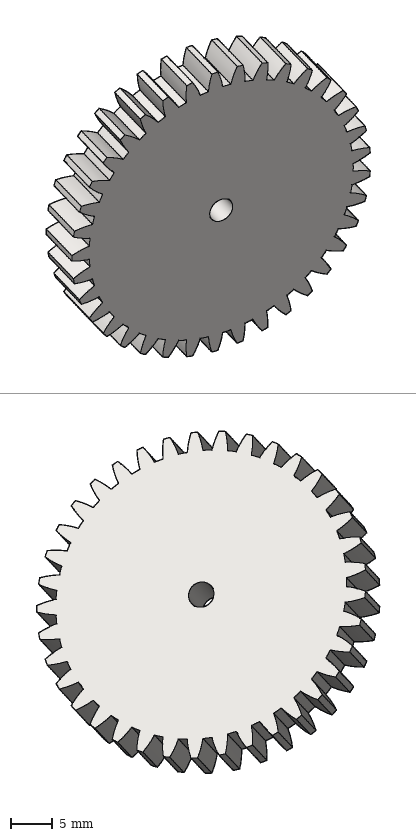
import cadquery as cq
import math

tooth_count = 37
overall_height = 41.25
root_radius = 18.25
face_width = 6.35
bore_diameter = 3.18

root_thickness = 2.0
pitch_thickness = 1.5
tip_thickness = 0.83

tooth_step = 2 * math.pi / tooth_count
first_tooth_angle = math.pi
tip_half_thickness = tip_thickness / 2
nearest_tooth_lean = tooth_step / 4
corner_rise = tip_half_thickness * math.sin(nearest_tooth_lean)
corner_distance = (overall_height / 2 - corner_rise) / math.cos(nearest_tooth_lean)
outer_radius = math.hypot(tip_half_thickness, corner_distance)
pitch_radius = outer_radius * tooth_count / (tooth_count + 2)


def polar(radius, angle):
    """Point in the gear plane at a radius and an angle."""
    return (radius * math.cos(angle), radius * math.sin(angle))


def half_angle(radius, thickness):
    """Half of the angle that a tooth of this thickness spans at a radius."""
    return math.asin(thickness / 2 / radius)


def flank(centre, side):
    """Root, pitch and tip points of one flank; side is -1 or +1."""
    root = polar(root_radius, centre + side * half_angle(root_radius, root_thickness))
    pitch = polar(pitch_radius, centre + side * half_angle(pitch_radius, pitch_thickness))
    tip = polar(outer_radius, centre + side * half_angle(outer_radius, tip_thickness))
    return root, pitch, tip


def gear_outline():
    """Closed outline of all teeth in the YZ plane."""
    outline = cq.Workplane("YZ").moveTo(*flank(first_tooth_angle, -1)[0])
    for tooth in range(tooth_count):
        centre = first_tooth_angle + tooth * tooth_step
        root_before, pitch_before, tip_before = flank(centre, -1)
        root_after, pitch_after, tip_after = flank(centre, 1)
        next_root = flank(centre + tooth_step, -1)[0]
        gap_middle = polar(root_radius, centre + tooth_step / 2)
        outline = outline.threePointArc(pitch_before, tip_before)
        outline = outline.threePointArc(polar(outer_radius, centre), tip_after)
        outline = outline.threePointArc(pitch_after, root_after)
        outline = outline.threePointArc(gap_middle, next_root)
    return outline.close()


gear_blank = gear_outline().extrude(face_width).translate((-face_width / 2, 0, 0))
bore = cq.Workplane("YZ").circle(bore_diameter / 2).extrude(face_width, both=True)
result = gear_blank.cut(bore)